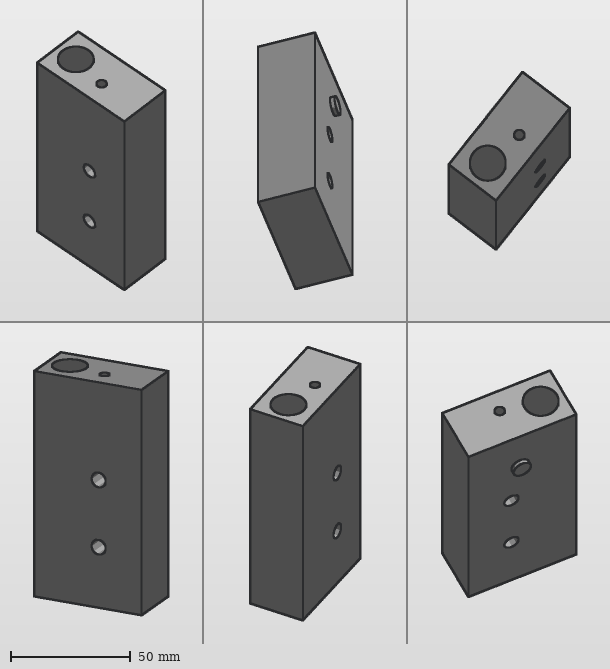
import cadquery as cq

width = 50.0
depth = 25.0
height = 100.5

cross_diameter = 6.5
cross_x = 30.0
lower_cross_z = 27.0
cross_spacing = 29.9

bore_diameter = 15.0
bore_x = 10.5
bore_y = depth / 2
bore_depth = 80.4
small_diameter = 4.3
small_x = 28.0
small_y = 9.5
small_depth = 20.1

boss_diameter = 8.0
boss_length = 2.0
boss_x = 26.0
boss_z = height - 21.0


def cylinder_along_y(diameter, length, x, y, z):
    """Cylinder that starts at (x, y, z) and runs toward +Y."""
    return cq.Workplane(cq.Solid.makeCylinder(
        diameter / 2, length, cq.Vector(x, y, z), cq.Vector(0, 1, 0)
    ))


def top_hole(diameter, hole_depth, x, y):
    """Flat-bottomed hole cutter that reaches up to the top face."""
    return cq.Workplane(cq.Solid.makeCylinder(
        diameter / 2, hole_depth, cq.Vector(x, y, height - hole_depth), cq.Vector(0, 0, 1)
    ))


result = cq.Workplane("XY").box(width, depth, height, centered=False)

result = result.union(cylinder_along_y(boss_diameter, boss_length, boss_x, depth, boss_z))

for cross_z in (lower_cross_z, lower_cross_z + cross_spacing):
    result = result.cut(cylinder_along_y(cross_diameter, depth, cross_x, 0, cross_z))

result = result.cut(top_hole(bore_diameter, bore_depth, bore_x, bore_y))
result = result.cut(top_hole(small_diameter, small_depth, small_x, small_y))